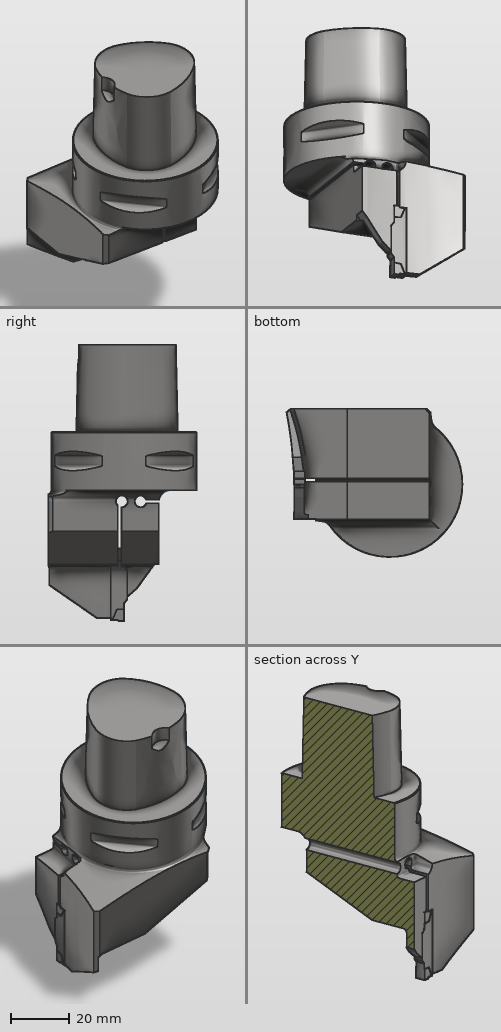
import cadquery as cq
import math


shank_height = 30.0
shank_radius = 17.5
shank_taper = 0.7
lobe_rise = 1.0
lobe_half_angle = 26
lobe_count = 3
lobe_pitch = 360 / lobe_count

relief_radius = 4.6
relief_y = -18.2
relief_depth = 5.4

flange_diameter = 50.0
flange_radius = flange_diameter / 2
flange_height = 20.0
flange_chamfer = 0.3
grip_flat_distance = 22.1
grip_center_z = -10.0
grip_floor_width = 3.4
grip_floor_fillet = 0.7
grip_mouth_width = 6.65
grip_count = 4
grip_start_angle = 45

shoulder_radius = 26.0
shoulder_z = -21.5
shoulder_slope = math.radians(15)
envelope_radius = 47.5

head_bottom = -45.4
head_front = -26.0
head_back = 12.0
head_right = 13.6
head_corner = 1.5
head_flare = 3.8
head_slope_x = -14.6
head_slope_end_z = -34.1
face_x = -32.8
face_radius = 152
arc_y = 3.8
face_flat_y = 10.1
face_front_y = -24.7
left_chamfer_x = -33.9

blade_inner_x = -29.3
blade_inner_radius = 90.25
blade_bottom = -63.9
blade_slope_y = -9.3
blade_slope_end_z = -52.3
blade_fillet = 1.3

insert_bottom = -65.0
insert_length = 25.0
insert_seat_y = -4.6
insert_crown_y = 1.1
crown_start = 6.1
crown_rise = 1.4
end_relief = 0.3
core_left = face_x
core_right = blade_inner_x
tip_overhang = 0.2
tip_length = 4.2
tip_heel = 2.5
tip_root = 4.0
heel_rise = 0.2
edge_land = 1.8
tip_step = 0.5

hinge_diameter = 4.0
hinge_z = -23.8
rear_hinge_y = 5.7
front_hinge_y = -0.8
slot_width = 1.1
clamp_slot_y = -1.5
clamp_slot_bottom = -47.5
notch_wall_x = -25.4
notch_floor = -27.2
notch_side_y = -4.4
notch_corner = 4.2
notch_fillet = 0.95
jaw_edge = [
    (13.9, -41.3), (face_flat_y, -45.9), (4.4, -53.8), (insert_crown_y, -56.6),
]

margin = 19
far_side = 57
tolerance = 0.1


def arc_x(crest_x, radius, y):
    """X at the given Y on an arc whose centre lies to the left, on the line Y = arc_y."""
    return crest_x - radius + math.sqrt(radius**2 - (y - arc_y) ** 2)


def shank_section(radius, z):
    """Closed wire of three lobe arcs and three flatter arcs."""
    def point(angle):
        r = radius + lobe_rise * math.cos(math.radians(lobe_count * angle))
        turned = math.radians(angle + 90)
        return cq.Vector(r * math.cos(turned), r * math.sin(turned), z)

    edges = []
    for i in range(lobe_count):
        peak = i * lobe_pitch
        lobe_start, lobe_end = peak - lobe_half_angle, peak + lobe_half_angle
        next_lobe = lobe_start + lobe_pitch
        flat_middle = peak + lobe_pitch / 2
        edges.append(cq.Edge.makeThreePointArc(point(lobe_start), point(peak), point(lobe_end)))
        edges.append(cq.Edge.makeThreePointArc(point(lobe_end), point(flat_middle), point(next_lobe)))
    return cq.Wire.assembleEdges(edges)


def make_shank():
    base = shank_section(shank_radius, 0)
    top = shank_section(shank_radius - shank_taper, shank_height)
    shank = cq.Workplane(cq.Solid.makeLoft([base, top], True))
    floor_z = shank_height - relief_depth
    relief = (
        cq.Workplane("XZ")
        .moveTo(0, floor_z - relief_radius)
        .lineTo(relief_radius, floor_z)
        .lineTo(relief_radius, shank_height + margin)
        .lineTo(0, shank_height + margin)
        .close()
        .revolve(360, (0, 0, 0), (0, 1, 0))
        .translate((0, relief_y, 0))
    )
    return shank.cut(relief)


def make_envelope():
    """Flange with a fillet into the conical shoulder that limits the head from above."""
    cone_drop = (envelope_radius - shoulder_radius) * math.tan(shoulder_slope)
    return (
        cq.Workplane("XZ")
        .moveTo(0, 0)
        .lineTo(flange_radius - flange_chamfer, 0)
        .lineTo(flange_radius, -flange_chamfer)
        .lineTo(flange_radius, -flange_height)
        .tangentArcPoint((shoulder_radius, shoulder_z), relative=False)
        .lineTo(envelope_radius, shoulder_z - cone_drop)
        .lineTo(envelope_radius, insert_bottom)
        .lineTo(0, insert_bottom)
        .close()
        .revolve(360, (0, 0, 0), (0, 1, 0))
    )


def make_flange_disc():
    return cq.Workplane("XY").circle(flange_radius).extrude(-flange_height)


def cut_grip_slots(body):
    outer = flange_radius + margin
    flare = (grip_mouth_width - grip_floor_width) / 2 / (flange_radius - grip_flat_distance)
    floor_half = grip_floor_width / 2
    outer_half = floor_half + flare * (outer - grip_flat_distance)
    slot = (
        cq.Workplane("XZ")
        .polyline([
            (grip_flat_distance, grip_center_z - floor_half),
            (outer, grip_center_z - outer_half),
            (outer, grip_center_z + outer_half),
            (grip_flat_distance, grip_center_z + floor_half),
        ])
        .close()
        .extrude(flange_radius, both=True)
        .faces("<X").edges("|Y").fillet(grip_floor_fillet)
    )
    for i in range(grip_count):
        body = body.cut(slot.rotate((0, 0, 0), (0, 0, 1), grip_start_angle + i * 360 / grip_count))
    return body


def make_face_column():
    """Column with the front wall, the left chamfer and the curved left face of the head."""
    flat_x = arc_x(face_x, face_radius, face_flat_y)
    middle_y = (face_flat_y + face_front_y) / 2
    far_x, far_y = head_right + margin, head_back + margin
    return (
        cq.Workplane("XY", origin=(0, 0, blade_bottom))
        .moveTo(left_chamfer_x, head_front)
        .lineTo(far_x, head_front)
        .lineTo(far_x, far_y)
        .lineTo(flat_x, far_y)
        .lineTo(flat_x, face_flat_y)
        .threePointArc(
            (arc_x(face_x, face_radius, middle_y), middle_y),
            (arc_x(face_x, face_radius, face_front_y), face_front_y),
        )
        .close()
        .extrude(-blade_bottom)
    )


def make_flared_walls():
    """Back wall, right wall and corner chamfer, with a fillet out to the flange underside."""
    left, front = face_x - margin, head_front - margin
    chamfer_run = head_corner + margin
    corner_y = head_front + head_corner
    plate_size = 10 * margin
    plate = cq.Workplane("XY", origin=(0, 0, -flange_height)).rect(plate_size, plate_size)
    walls = (
        plate.extrude(flange_height)
        .faces("<Z").workplane(origin=(0, 0, -flange_height), invert=True)
        .polyline([
            (left, front),
            (head_right - chamfer_run, front),
            (head_right, corner_y),
            (head_right, head_back),
            (left, head_back),
        ])
        .close()
        .extrude(blade_bottom + flange_height)
    )
    junction = cq.selectors.BoxSelector(
        (-far_side, -far_side, -flange_height - tolerance),
        (far_side, far_side, -flange_height + tolerance),
    )
    return walls.edges(junction).fillet(head_flare)


def make_blade_root():
    """Disc whose underside turns down, through a fillet, into the inner arc of the blade."""
    axis_x = blade_inner_x - blade_inner_radius
    return (
        cq.Workplane("XY", origin=(axis_x, arc_y, 0))
        .circle(2 * blade_inner_radius)
        .extrude(head_bottom)
        .faces("<Z").workplane(invert=True)
        .circle(blade_inner_radius)
        .extrude(blade_bottom - head_bottom)
        .faces("<Z[1]").edges(cq.selectors.RadiusNthSelector(0)).fillet(blade_fillet)
    )


def make_head():
    slope = (
        cq.Workplane("XZ")
        .polyline([
            (head_slope_x, head_bottom),
            (head_right, head_slope_end_z),
            (head_right + margin, head_slope_end_z),
            (head_right + margin, head_bottom),
        ])
        .close()
        .extrude(2 * margin, both=True)
    )
    head = make_blade_root().intersect(make_face_column()).intersect(make_flared_walls())
    return head.cut(slope)


def side_prism(points, x_start, x_end):
    """Prism along X from a (Y, Z) outline."""
    return (
        cq.Workplane("YZ", origin=(x_start, 0, 0)).polyline(points).close().extrude(x_end - x_start)
    )


def blade_trim():
    """Everything below the sloped edges of the blade and the jaw."""
    run = blade_slope_y - head_front
    slope = (blade_slope_end_z - blade_bottom) / run
    under = insert_bottom
    front = [
        (blade_slope_y, blade_bottom),
        (head_front - margin, blade_bottom + slope * (run + margin)),
        (head_front - margin, under),
        (blade_slope_y, under),
    ]
    jaw_foot_z = jaw_edge[-1][1]
    back = jaw_edge + [(insert_seat_y, jaw_foot_z), (insert_seat_y, under), (jaw_edge[0][0], under)]
    back_trim = side_prism(back, -far_side, blade_inner_x + blade_fillet)
    return side_prism(front, -far_side, 0).union(back_trim)


def cut_jaw(body):
    """Two hinge holes, a slot out to the back and a slot down to the insert."""
    for y in (rear_hinge_y, front_hinge_y):
        hole = cq.Workplane("YZ").center(y, hinge_z).circle(hinge_diameter / 2)
        body = body.cut(hole.extrude(far_side, both=True))
    half = slot_width / 2
    rear_slot = [
        (rear_hinge_y, hinge_z - half),
        (far_side, hinge_z - half),
        (far_side, hinge_z + half),
        (rear_hinge_y, hinge_z + half),
    ]
    clamp_slot = [
        (clamp_slot_y - half, hinge_z),
        (clamp_slot_y + half, hinge_z),
        (clamp_slot_y + half, clamp_slot_bottom),
        (clamp_slot_y - half, clamp_slot_bottom),
    ]
    for outline in (rear_slot, clamp_slot):
        body = body.cut(side_prism(outline, -far_side, far_side))
    return body


def cut_notch(body):
    """Clear the space above the jaw, beside the flange and below its underside."""
    length = notch_wall_x + far_side
    width = far_side - notch_side_y
    height = -notch_floor
    notch = (
        cq.Workplane("XY")
        .box(length, width, height, centered=False)
        .translate((-far_side, notch_side_y, notch_floor))
        .edges("|X and <Y and <Z").fillet(notch_corner)
        .faces(">X").edges("not(>Y or >Z)").fillet(notch_fillet)
    )
    return body.cut(notch.cut(make_flange_disc()))


def insert_profile():
    """(Y, Z) outline of the insert core, a shallow crown between two lower ends."""
    low = insert_bottom + end_relief
    top = insert_bottom + insert_length
    high = top - end_relief
    return [
        (insert_seat_y, low),
        (0, low),
        (0, insert_bottom + crown_start),
        (insert_crown_y, insert_bottom + crown_start + crown_rise),
        (insert_crown_y, top - crown_start - crown_rise),
        (0, top - crown_start),
        (0, high),
        (insert_seat_y, high),
    ]


def make_insert():
    core = side_prism(insert_profile(), core_left, core_right)
    tip_outline = [
        (0, insert_bottom),
        (0, insert_bottom + tip_length),
        (-tip_heel, insert_bottom + tip_length - heel_rise),
        (-tip_root, insert_bottom + tip_step),
        (-edge_land - tip_step, insert_bottom + tip_step),
        (-edge_land, insert_bottom),
    ]
    lower_tip = side_prism(tip_outline, core_left - tip_overhang, core_right + tip_overhang)
    middle = (0, 0, insert_bottom + insert_length / 2)
    upper_tip = lower_tip.mirror("XY", middle)
    return core.union(lower_tip).union(upper_tip)


def make_holder(insert):
    holder = make_head().union(make_flange_disc()).intersect(make_envelope())
    holder = cut_notch(holder)
    holder = cut_grip_slots(holder)
    holder = holder.cut(blade_trim())
    holder = cut_jaw(holder)
    seat = side_prism(insert_profile(), -far_side, core_right)
    holder = holder.cut(seat).cut(insert)
    return holder.union(make_shank())


insert = make_insert()
holder = make_holder(insert)

result = cq.Compound.makeCompound([*holder.solids().vals(), *insert.solids().vals()])